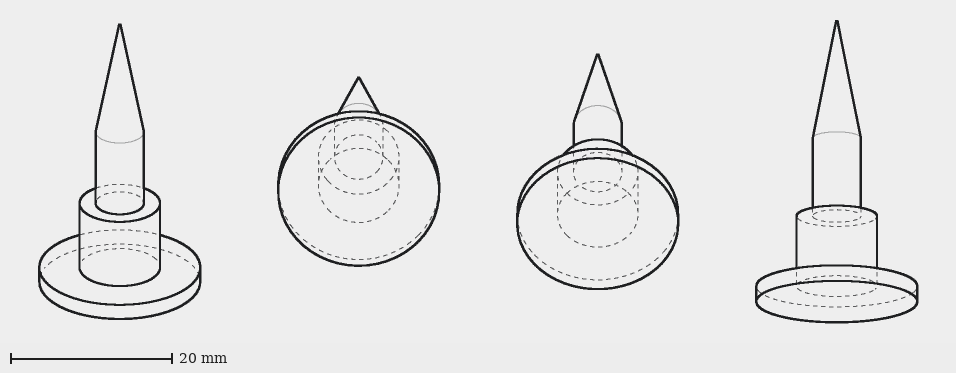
import cadquery as cq

flange_diameter = 20.0
collar_diameter = 10.0
shank_diameter = 6.0
tip_diameter = 0.2

flange_thickness = 2.0
collar_height = 9.0
shank_height = 10.0
point_height = 15.0

collar_top = flange_thickness + collar_height
shank_top = collar_top + shank_height
tip_top = shank_top + point_height


def make_pin():
    """Revolve the stepped half profile (radius, height) about the Z axis."""
    profile = (
        cq.Workplane("XZ")
        .moveTo(0, 0)
        .lineTo(flange_diameter / 2, 0)
        .lineTo(flange_diameter / 2, flange_thickness)
        .lineTo(collar_diameter / 2, flange_thickness)
        .lineTo(collar_diameter / 2, collar_top)
        .lineTo(shank_diameter / 2, collar_top)
        .lineTo(shank_diameter / 2, shank_top)
        .lineTo(tip_diameter / 2, tip_top)
        .lineTo(0, tip_top)
        .close()
    )
    return profile.revolve(360, (0, 0), (0, 1))


result = make_pin()